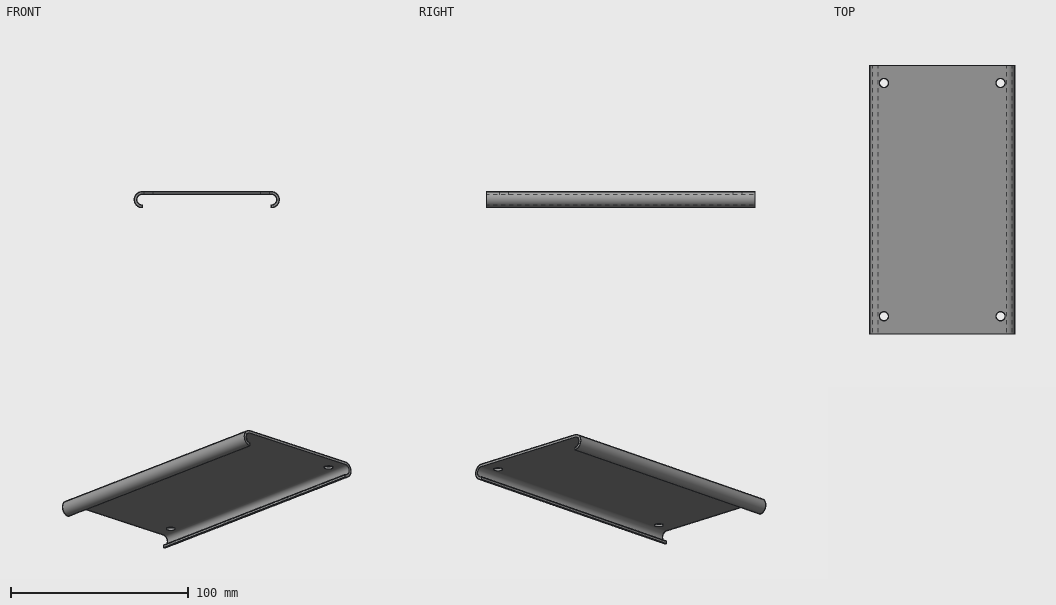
import cadquery as cq

length = 151.0
width = 81.5
height = 9.0
thickness = 1.5

outer_radius = height / 2
inner_radius = outer_radius - thickness
bend_x = width / 2 - outer_radius

hole_diameter = 5.0
hole_end_offset = 10.0
hole_spacing_x = 65.5
hole_spacing_y = length - 2 * hole_end_offset


def make_sheet():
    """Flat sheet whose long edges roll under in half circles."""
    profile = (
        cq.Workplane("XZ")
        .moveTo(-bend_x, outer_radius)
        .lineTo(bend_x, outer_radius)
        .threePointArc((bend_x + outer_radius, 0), (bend_x, -outer_radius))
        .lineTo(bend_x, -inner_radius)
        .threePointArc((bend_x + inner_radius, 0), (bend_x, inner_radius))
        .lineTo(-bend_x, inner_radius)
        .threePointArc((-bend_x - inner_radius, 0), (-bend_x, -inner_radius))
        .lineTo(-bend_x, -outer_radius)
        .threePointArc((-bend_x - outer_radius, 0), (-bend_x, outer_radius))
        .close()
    )
    return profile.extrude(length / 2, both=True)


def make_hole_cutters():
    """Four vertical cylinders, one near each corner of the flat face."""
    return (
        cq.Workplane("XY")
        .workplane(offset=outer_radius)
        .rarray(hole_spacing_x, hole_spacing_y, 2, 2)
        .circle(hole_diameter / 2)
        .extrude(-thickness)
    )


result = make_sheet().cut(make_hole_cutters())